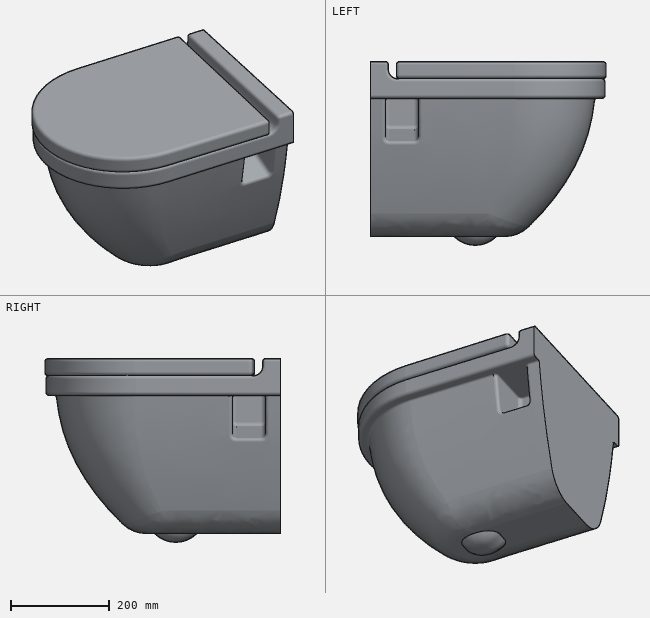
import cadquery as cq
import math


SELECT_MARGIN = 2.5

TOP_Z = 355.5
LID_THICKNESS = 35.0
RIM_THICKNESS = 40.3
RIM_TOP_Z = TOP_Z - LID_THICKNESS
RIM_BOTTOM_Z = RIM_TOP_Z - RIM_THICKNESS

LID_FRONT_Y = -479.0
LID_RADIUS = 185.5
LID_CENTRE_X = -1.0
LID_BACK_Y = -52.5
LID_SKEW = math.radians(0.6)
LID_ROUND = 7.0

RIM_RADIUS = 183.5
RIM_FRONT_Y = -477.0
RIM_ROUND = 6.5
LEDGE_DEPTH = 37.0
COVE_RADIUS = 19.0

BOWL_TOP_HALF_WIDTH = 160.5
BOWL_SIDE_RADIUS = 1198.0
BOWL_SIDE_LEAN = math.radians(7.5)
BOWL_CENTRE_Y = -295.5
BOWL_BEND_Z = 250.0
BOWL_BEND_RADIUS = 412.0
BOWL_LEVELS = 9
BOWL_FOOT_ROUND = 69.5
BOWL_NECK_ROUND = 4.0

POCKET_BACK_Y = -30.5
POCKET_FRONT_Y = -98.2
POCKET_WALL_X = 60.0
POCKET_MOUTH_X = 146.0
POCKET_MOUTH_Z = 191.5
POCKET_INNER_Z = 219.5
POCKET_ROUND = 9.0
POCKET_MOUTH_ROUND = 6.5

TRAP_DIAMETER = 120.0
TRAP_FLAT_WIDTH = 19.5
TRAP_ROUND = 29.5
TRAP_DROP = 17.5
TRAP_CENTRE_Y = -213.3


def make_lid():
    centre_y = LID_FRONT_Y + LID_RADIUS
    left_x = LID_CENTRE_X - LID_RADIUS
    tangent_x = LID_CENTRE_X + LID_RADIUS * math.cos(LID_SKEW)
    tangent_y = centre_y - LID_RADIUS * math.sin(LID_SKEW)
    right_length = (
        (LID_BACK_Y - tangent_y) * math.cos(LID_SKEW)
        - (tangent_x - left_x) * math.sin(LID_SKEW)
    )
    corner_x = tangent_x + right_length * math.sin(LID_SKEW)
    corner_y = tangent_y + right_length * math.cos(LID_SKEW)
    slab = (
        cq.Workplane("XY", origin=(0, 0, RIM_TOP_Z))
        .moveTo(left_x, LID_BACK_Y)
        .lineTo(left_x, centre_y)
        .threePointArc((LID_CENTRE_X, LID_FRONT_Y), (tangent_x, tangent_y))
        .lineTo(corner_x, corner_y)
        .close()
        .extrude(LID_THICKNESS)
    )
    back_corners = [edge for edge in slab.edges("|Z").vals() if edge.Center().y > centre_y / 2]
    slab = slab.newObject(back_corners).fillet(LID_ROUND)
    return slab.faces("<Z or >Z").edges().fillet(LID_ROUND)


def d_outline(plane, half_width, centre_y):
    """Outline with its straight back on the wall face and a semicircular front."""
    return (
        plane.moveTo(-half_width, 0)
        .lineTo(-half_width, centre_y)
        .threePointArc((0, centre_y - half_width), (half_width, centre_y))
        .lineTo(half_width, 0)
        .close()
    )


def make_rim():
    """Rim plate with the rear ledge standing on it, all outer edges rounded."""
    plane = cq.Workplane("XY", origin=(0, 0, RIM_BOTTOM_Z))
    block = d_outline(plane, RIM_RADIUS, RIM_FRONT_Y + RIM_RADIUS).extrude(TOP_Z - RIM_BOTTOM_Z)
    ledge_y = -LEDGE_DEPTH
    bend = COVE_RADIUS * (1 - math.sqrt(0.5))
    space_above_rim = (
        cq.Workplane("YZ")
        .moveTo(ledge_y, TOP_Z)
        .lineTo(ledge_y, RIM_TOP_Z + COVE_RADIUS)
        .threePointArc((ledge_y - bend, RIM_TOP_Z + bend), (ledge_y - COVE_RADIUS, RIM_TOP_Z))
        .lineTo(RIM_FRONT_Y, RIM_TOP_Z)
        .lineTo(RIM_FRONT_Y, TOP_Z)
        .close()
        .extrude(RIM_RADIUS, both=True)
    )
    block = block.cut(space_above_rim)

    def is_rounded(edge):
        centre = edge.Center()
        direction = edge.tangentAt(0)
        if centre.y > -SELECT_MARGIN:
            return False
        if abs(direction.z) > 0.99:
            return centre.y > ledge_y - SELECT_MARGIN
        if edge.geomType() == "LINE" and abs(direction.x) > 0.99:
            return centre.z > TOP_Z - SELECT_MARGIN
        return True

    rounded_edges = [edge for edge in block.edges().vals() if is_rounded(edge)]
    return block.newObject(rounded_edges).fillet(RIM_ROUND)


def bowl_half_width(z):
    """The side walls are arcs that lean in towards the underside."""
    arc_centre_z = RIM_BOTTOM_Z + BOWL_SIDE_RADIUS * math.sin(BOWL_SIDE_LEAN)
    arc_centre_x = BOWL_TOP_HALF_WIDTH - BOWL_SIDE_RADIUS * math.cos(BOWL_SIDE_LEAN)
    return arc_centre_x + math.sqrt(BOWL_SIDE_RADIUS**2 - (arc_centre_z - z)**2)


def bowl_centre_y(z):
    """The centre of the round front runs straight down, then back along an arc."""
    below_bend = max(0.0, BOWL_BEND_Z - z)
    return BOWL_CENTRE_Y + BOWL_BEND_RADIUS - math.sqrt(BOWL_BEND_RADIUS**2 - below_bend**2)


def make_bowl():
    sections = []
    for level in range(BOWL_LEVELS):
        z = RIM_BOTTOM_Z * level / (BOWL_LEVELS - 1)
        plane = cq.Workplane("XY", origin=(0, 0, z))
        sections.append(d_outline(plane, bowl_half_width(z), bowl_centre_y(z)).val())
    bowl = cq.Workplane(cq.Solid.makeLoft(sections))
    return bowl.faces("<Z").edges("not >Y").fillet(BOWL_FOOT_ROUND)


def make_pocket_cutter():
    """Pocket on the -X side: a sloping floor that rises to an upright inner wall."""
    slope = (POCKET_INNER_Z - POCKET_MOUTH_Z) / (POCKET_MOUTH_X - POCKET_WALL_X)
    outside_x = POCKET_MOUTH_X + POCKET_WALL_X
    outside_z = POCKET_MOUTH_Z - slope * (outside_x - POCKET_MOUTH_X)
    cutter = (
        cq.Workplane("XZ", origin=(0, POCKET_BACK_Y, 0))
        .moveTo(-POCKET_WALL_X, RIM_BOTTOM_Z)
        .lineTo(-POCKET_WALL_X, POCKET_INNER_Z)
        .lineTo(-outside_x, outside_z)
        .lineTo(-outside_x, RIM_BOTTOM_Z)
        .close()
        .extrude(POCKET_BACK_Y - POCKET_FRONT_Y)
    )
    cutter = cutter.faces(">X").edges("|Z").fillet(POCKET_ROUND)
    return cutter.faces("<Z").edges().fillet(POCKET_ROUND)


def round_pocket_mouths(bowl):
    """Round the edges where the pockets break through the sides of the bowl."""
    lowest_z = POCKET_MOUTH_Z - 2 * SELECT_MARGIN
    highest_z = RIM_BOTTOM_Z - SELECT_MARGIN
    for side in (-1, 1):
        mouth = cq.selectors.BoxSelector(
            (side * (POCKET_MOUTH_X - 3 * SELECT_MARGIN), POCKET_FRONT_Y - SELECT_MARGIN, lowest_z),
            (side * (BOWL_TOP_HALF_WIDTH + SELECT_MARGIN), POCKET_BACK_Y + SELECT_MARGIN, highest_z),
        )
        bowl = bowl.edges(mouth).fillet(POCKET_MOUTH_ROUND)
    return bowl


def make_pan():
    cutter = make_pocket_cutter()
    bowl = make_bowl().cut(cutter).cut(cutter.mirror("YZ"))
    pan = round_pocket_mouths(bowl).union(make_rim())
    neck_reach = BOWL_TOP_HALF_WIDTH + SELECT_MARGIN
    neck = cq.selectors.BoxSelector(
        (-neck_reach, RIM_FRONT_Y, RIM_BOTTOM_Z - SELECT_MARGIN / 5),
        (neck_reach, -SELECT_MARGIN / 5, RIM_BOTTOM_Z + SELECT_MARGIN / 5),
        boundingbox=True,
    )
    return pan.edges(neck).fillet(BOWL_NECK_ROUND)


def make_trap():
    """Part of a thick disc with rounded rims that shows below the pan."""
    radius = TRAP_DIAMETER / 2
    half_width = TRAP_FLAT_WIDTH / 2 + TRAP_ROUND
    disc = (
        cq.Workplane("YZ", origin=(0, TRAP_CENTRE_Y, radius - TRAP_DROP))
        .circle(radius)
        .extrude(half_width, both=True)
        .edges()
        .fillet(TRAP_ROUND)
    )
    below_pan = (
        cq.Workplane("XY", origin=(0, TRAP_CENTRE_Y, 0))
        .rect(TRAP_DIAMETER, TRAP_DIAMETER)
        .extrude(-TRAP_DROP)
    )
    return disc.intersect(below_pan)


lid = make_lid()
pan = make_pan()
trap = make_trap()

result = cq.Compound.makeCompound([pan.val(), lid.val(), trap.val()])